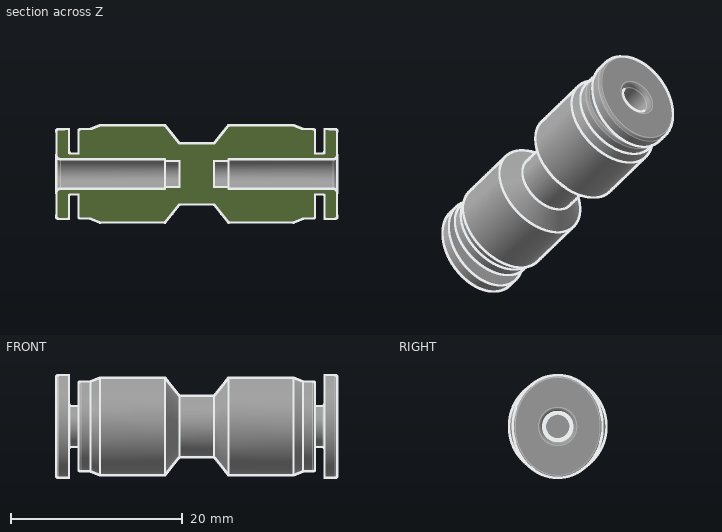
import cadquery as cq

length = 32.8
ring_thickness = 1.55
collar_start = 2.6
taper_start = 4.0
barrel_start = 5.15
barrel_end = 12.7
neck_start = 14.35

ring_width = 10.5
ring_height = 12.0
ring_edge_radius = 0.3

stem_diameter = 4.8
stem_root_radius = 0.15
collar_diameter = 10.5
collar_edge_radius = 0.3
barrel_diameter = 11.4
neck_diameter = 7.2

bore_diameter = 3.4
bore_depth = barrel_end
inner_bore_diameter = 3.0
inner_bore_depth = neck_start
mouth_radius = 0.52


def cylinder(start, end, diameter):
    """Cylinder on the X axis between two stations."""
    return cq.Workplane("YZ", origin=(start, 0, 0)).circle(diameter / 2).extrude(end - start)


def make_body():
    """Half of the turned body, from the collar to the middle of the neck."""
    profile = [
        (collar_start, 0),
        (collar_start, collar_diameter / 2),
        (taper_start, collar_diameter / 2),
        (barrel_start, barrel_diameter / 2),
        (barrel_end, barrel_diameter / 2),
        (neck_start, neck_diameter / 2),
        (length / 2, neck_diameter / 2),
        (length / 2, 0),
    ]
    body = cq.Workplane("XY").polyline(profile).close().revolve(360, (0, 0, 0), (1, 0, 0))
    return body.faces("<X").edges().fillet(collar_edge_radius)


def make_release_ring():
    """Oval ring, rounded on its outer face, with the stem filleted to its back."""
    ring = cq.Workplane("YZ").ellipse(ring_width / 2, ring_height / 2).extrude(ring_thickness)
    ring = ring.faces("<X").edges().fillet(ring_edge_radius)
    stem = cylinder(ring_thickness, collar_start, stem_diameter)
    root = cq.selectors.NearestToPointSelector((ring_thickness, 0, 0))
    return ring.union(stem).edges(root).fillet(stem_root_radius)


def make_half():
    """One end of the connector with its bore."""
    half = make_body().union(make_release_ring())
    half = half.cut(cylinder(0, bore_depth, bore_diameter))
    half = half.cut(cylinder(bore_depth, inner_bore_depth, inner_bore_diameter))
    return half.faces("<X").edges("%CIRCLE").fillet(mouth_radius)


half = make_half().translate((-length / 2, 0, 0))
result = half.union(half.mirror("YZ"))